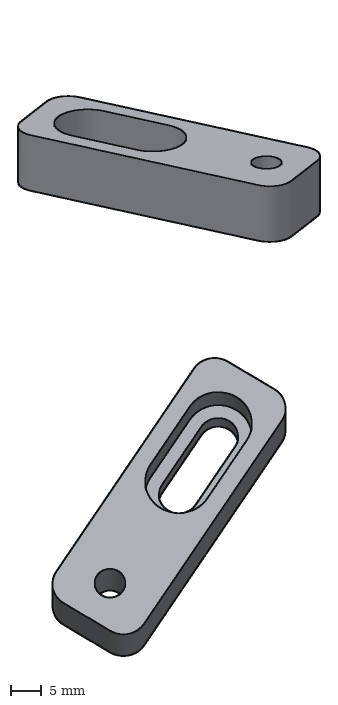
import cadquery as cq

length = 50.0
width = 17.0
height = 10.0
corner_radius = 4.0

hole_diameter = 5.0
hole_end_distance = 7.0
hole_x = length / 2 - hole_end_distance

pocket_length = 23.0
pocket_width = 11.0
pocket_depth = 6.0
pocket_end_distance = 4.5
ledge_width = 2.25
slot_length = pocket_length - 2 * ledge_width
slot_width = pocket_width - 2 * ledge_width
slot_x = -length / 2 + pocket_end_distance + pocket_length / 2


def make_body():
    """Block standing on Z = 0 with rounded vertical edges."""
    block = cq.Workplane("XY").box(length, width, height, centered=(True, True, False))
    return block.edges("|Z").fillet(corner_radius)


def cut_slot(body, overall_length, overall_width, depth):
    """Cut a round-ended slot along X, down from the top face."""
    top = cq.Workplane("XY").workplane(offset=height).center(slot_x, 0)
    return body.cut(top.slot2D(overall_length, overall_width).extrude(-depth))


def cut_hole(body):
    """Drill the round hole through the full height."""
    drill = cq.Workplane("XY").center(hole_x, 0).circle(hole_diameter / 2).extrude(height)
    return body.cut(drill)


result = make_body()
result = cut_slot(result, pocket_length, pocket_width, pocket_depth)
result = cut_slot(result, slot_length, slot_width, height)
result = cut_hole(result)